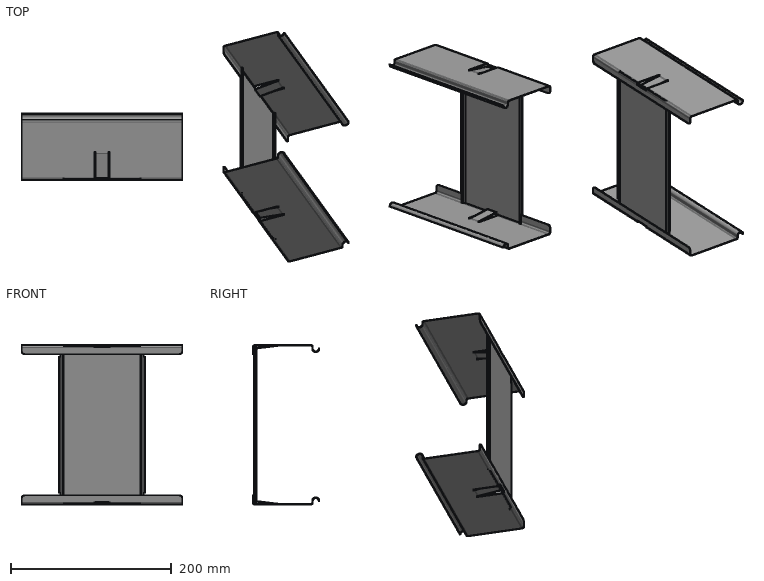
import cadquery as cq
import math

LENGTH = 200.0
DEPTH = 83.2
HEIGHT = 198.5
SHEET = 1.0
TOP = HEIGHT / 2

FLANGE_HEIGHT = 11.5
FLANGE_CORNER_RADIUS = 4.0
FRONT_BEND_RADIUS = 3.0
REAR_BEND_RADIUS = 2.5
HOOK_RADIUS = 4.5
HOOK_DEPTH = 9.0

WINDOW_WIDTH = 18.8
WINDOW_REAR = 35.2
WINDOW_DROP = 3.0
TAB_WIDTH = 15.5
TAB_HINGE = 33.5
TAB_ANGLE = 7.0

PANEL_FRONT = 1.8
PANEL_DEPTH = 3.2
PANEL_END_GAP = 1.5
WEB_HALF_WIDTH = 47.5
STEP_HALF_WIDTH = 49.5
LIP_HALF_WIDTH = 53.8
LIP_RADIUS = 2.0
END_HALF_WIDTH = 52.2
LIP_SETBACK = 3.0


def circle_point(center_u, center_v, radius, angle):
    """Point on a circle in a plane, angle in degrees from the plane's first axis."""
    turn = math.radians(angle)
    return (center_u + radius * math.cos(turn), center_v + radius * math.sin(turn))


def channel_sheet():
    """Bent sheet of the upper channel, without its window."""
    front_inner = FRONT_BEND_RADIUS - SHEET
    rear_inner = REAR_BEND_RADIUS - SHEET
    hook_inner = HOOK_RADIUS - SHEET
    front_center = (FRONT_BEND_RADIUS, TOP - FRONT_BEND_RADIUS)
    hook_center = (DEPTH - HOOK_RADIUS, TOP - HOOK_DEPTH + HOOK_RADIUS)
    wall_rear = hook_center[0] - hook_inner
    wall_front = wall_rear - SHEET
    rear_center = (wall_rear - REAR_BEND_RADIUS, TOP - REAR_BEND_RADIUS)
    flange_bottom = TOP - FLANGE_HEIGHT
    shelf_bottom = TOP - SHEET

    profile = (
        cq.Workplane("YZ")
        .moveTo(0, flange_bottom)
        .lineTo(0, front_center[1])
        .threePointArc(circle_point(*front_center, FRONT_BEND_RADIUS, 135), (front_center[0], TOP))
        .lineTo(rear_center[0], TOP)
        .threePointArc(circle_point(*rear_center, REAR_BEND_RADIUS, 45), (wall_rear, rear_center[1]))
        .lineTo(wall_rear, hook_center[1])
        .threePointArc(circle_point(*hook_center, hook_inner, 270), (DEPTH - SHEET, hook_center[1]))
        .lineTo(DEPTH, hook_center[1])
        .threePointArc(circle_point(*hook_center, HOOK_RADIUS, 270), (wall_front, hook_center[1]))
        .lineTo(wall_front, rear_center[1])
        .threePointArc(circle_point(*rear_center, rear_inner, 45), (rear_center[0], shelf_bottom))
        .lineTo(front_center[0], shelf_bottom)
        .threePointArc(circle_point(*front_center, front_inner, 135), (SHEET, front_center[1]))
        .lineTo(SHEET, flange_bottom)
        .close()
    )
    sheet = profile.extrude(LENGTH / 2, both=True)
    return sheet.edges("|Y").edges("<Z").fillet(FLANGE_CORNER_RADIUS)


def window():
    """Opening through the front bend and shelf, leaving the shelf whole behind the tab hinge."""
    opening = cq.Workplane("XY").box(
        WINDOW_WIDTH, TAB_HINGE, WINDOW_DROP, centered=(True, False, False)
    )
    slot_width = (WINDOW_WIDTH - TAB_WIDTH) / 2
    slot_center = (WINDOW_WIDTH - slot_width) / 2
    for side in (-1, 1):
        slot = (
            cq.Workplane("XY")
            .center(side * slot_center, WINDOW_REAR / 2)
            .slot2D(WINDOW_REAR, slot_width, 90)
            .extrude(WINDOW_DROP)
        )
        opening = opening.union(slot)
    return opening.translate((0, 0, TOP - WINDOW_DROP))


def tab():
    """Tongue sloping down from the hinge line to the rear face of the panel's web."""
    tip = PANEL_FRONT + SHEET
    drop = (TAB_HINGE - tip) * math.tan(math.radians(TAB_ANGLE))
    return (
        cq.Workplane("YZ")
        .polyline([
            (TAB_HINGE, TOP),
            (tip, TOP - drop),
            (tip, TOP - drop - SHEET),
            (TAB_HINGE, TOP - SHEET),
        ])
        .close()
        .extrude(TAB_WIDTH / 2, both=True)
    )


def make_channel(lower):
    """Upper channel, or its mirror image below the panel."""
    channel = channel_sheet().cut(window()).union(tab())
    return channel.mirror("XY") if lower else channel


def panel_half(height):
    """Right half of the panel: half the web, the sloping step, the side strip and the quarter-round lip."""
    rear = PANEL_FRONT + PANEL_DEPTH
    strip_front = rear - SHEET
    web_rear = PANEL_FRONT + SHEET
    lip_inner = LIP_RADIUS - SHEET
    lip_center = (LIP_HALF_WIDTH - LIP_RADIUS, rear - LIP_RADIUS)
    outline = (
        cq.Workplane("XY")
        .moveTo(0, PANEL_FRONT)
        .lineTo(WEB_HALF_WIDTH, PANEL_FRONT)
        .lineTo(STEP_HALF_WIDTH, strip_front)
        .lineTo(lip_center[0], strip_front)
        .threePointArc(circle_point(*lip_center, lip_inner, 45), (LIP_HALF_WIDTH - SHEET, lip_center[1]))
        .lineTo(LIP_HALF_WIDTH, lip_center[1])
        .threePointArc(circle_point(*lip_center, LIP_RADIUS, 45), (lip_center[0], rear))
        .lineTo(STEP_HALF_WIDTH, rear)
        .lineTo(WEB_HALF_WIDTH, web_rear)
        .lineTo(0, web_rear)
        .close()
    )
    return outline.extrude(height / 2, both=True)


def make_panel():
    """Web with stepped sides whose forward lips stop short of the panel's ends."""
    height = HEIGHT - 2 * PANEL_END_GAP
    half = panel_half(height)
    panel = half.union(half.mirror("YZ")).clean()

    lip_top = TOP - FLANGE_HEIGHT - LIP_SETBACK
    relief_width = LIP_HALF_WIDTH - END_HALF_WIDTH
    relief_height = height / 2 - lip_top
    relief_y = PANEL_FRONT + PANEL_DEPTH / 2
    for x_side in (-1, 1):
        for z_side in (-1, 1):
            relief = cq.Workplane("XY").box(relief_width, PANEL_DEPTH, relief_height)
            relief_x = x_side * (END_HALF_WIDTH + relief_width / 2)
            relief_z = z_side * (lip_top + relief_height / 2)
            panel = panel.cut(relief.translate((relief_x, relief_y, relief_z)))
    return panel


channels = [make_channel(lower) for lower in (False, True)]
panel = make_panel()

result = cq.Compound.makeCompound([panel.val(), *[channel.val() for channel in channels]])